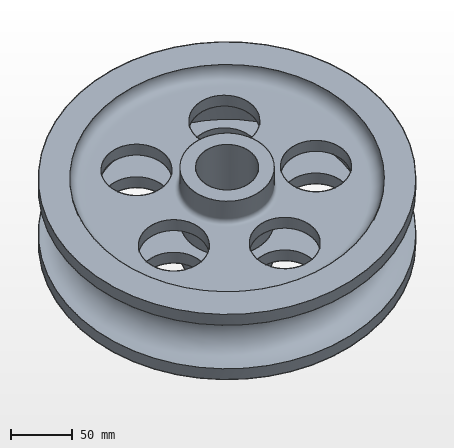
import cadquery as cq
import math

wheel_diameter = 304.8
rim_width = 76.2
wall_thickness = rim_width / 6
hub_width = rim_width + 2 * wall_thickness
hub_diameter = 76.2
bore_diameter = 51.0
groove_radius = rim_width / 3
recess_depth = wall_thickness
recess_floor_diameter = 228.5
hub_fillet_radius = 5.0
hole_count = 5
hole_diameter = 57.3
hole_circle_radius = 76.2
first_hole_angle = 90.0

wheel_radius = wheel_diameter / 2
hub_radius = hub_diameter / 2
rim_top = rim_width / 2
hub_top = hub_width / 2
web_top = rim_top - recess_depth
recess_floor_radius = recess_floor_diameter / 2
recess_mouth_radius = recess_floor_radius + recess_depth
hollow_height = 2 * (web_top - wall_thickness)
hollow_outer_radius = recess_floor_radius


def make_wheel_body():
    """Revolve the full half section, without the groove, hollow or holes."""
    diagonal = math.sqrt(0.5)
    fillet_outer_radius = hub_radius + hub_fillet_radius
    fillet_top = web_top + hub_fillet_radius
    wall_mid_radius = recess_floor_radius + recess_depth * diagonal
    wall_mid_height = rim_top - recess_depth * diagonal
    fillet_mid_radius = fillet_outer_radius - hub_fillet_radius * diagonal
    fillet_mid_height = fillet_top - hub_fillet_radius * diagonal
    return (
        cq.Workplane("XZ")
        .moveTo(0, hub_top)
        .lineTo(hub_radius, hub_top)
        .lineTo(hub_radius, fillet_top)
        .threePointArc((fillet_mid_radius, fillet_mid_height), (fillet_outer_radius, web_top))
        .lineTo(recess_floor_radius, web_top)
        .threePointArc((wall_mid_radius, wall_mid_height), (recess_mouth_radius, rim_top))
        .lineTo(wheel_radius, rim_top)
        .lineTo(wheel_radius, -rim_top)
        .lineTo(recess_mouth_radius, -rim_top)
        .threePointArc((wall_mid_radius, -wall_mid_height), (recess_floor_radius, -web_top))
        .lineTo(fillet_outer_radius, -web_top)
        .threePointArc((fillet_mid_radius, -fillet_mid_height), (hub_radius, -fillet_top))
        .lineTo(hub_radius, -hub_top)
        .lineTo(0, -hub_top)
        .close()
        .revolve(360, (0, 0, 0), (0, 1, 0))
    )


def make_rope_groove():
    """Ring of round section, centred on the outer diameter of the rim."""
    return (
        cq.Workplane("XZ")
        .center(wheel_radius, 0)
        .circle(groove_radius)
        .revolve(360, (-wheel_radius, 0, 0), (-wheel_radius, 1, 0))
    )


def make_hollow():
    """Annular hollow between the two web plates, from the hub to the rim."""
    return (
        cq.Workplane("XY")
        .workplane(offset=-hollow_height / 2)
        .circle(hollow_outer_radius)
        .circle(hub_radius)
        .extrude(hollow_height)
    )


def make_through_holes():
    """Cutters for the hub bore and the ring of lightening holes in the web."""
    base = cq.Workplane("XY").workplane(offset=-hub_top)
    bore = base.circle(bore_diameter / 2).extrude(hub_width)
    lightening_holes = (
        base.polarArray(hole_circle_radius, first_hole_angle, 360, hole_count)
        .circle(hole_diameter / 2)
        .extrude(hub_width)
    )
    return bore.union(lightening_holes)


result = (
    make_wheel_body()
    .cut(make_rope_groove())
    .cut(make_hollow())
    .cut(make_through_holes())
)